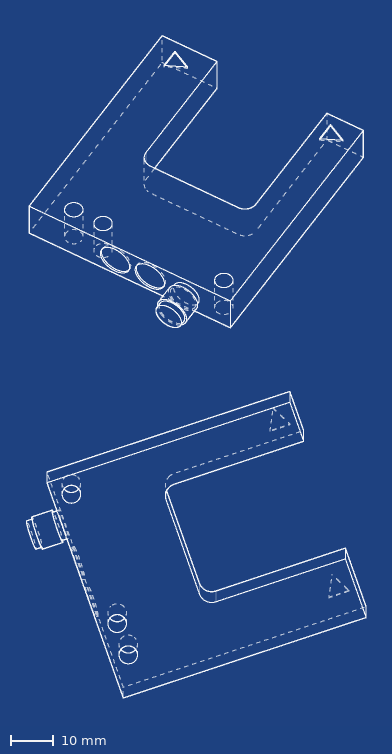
import cadquery as cq

body_width = 55.0
body_length = 60.0
body_height = 10.0

left_arm_width = 15.0
right_arm_width = 10.0
slot_depth = 35.0
slot_corner_radius = 3.0

hole_diameter = 4.3
hole_row_y = 4.5
hole_x_positions = (9.5, 17.5, 50.5)

arrow_size = 5.0
arrow_depth = 0.5
arrow_inset = 5.0
arrow_center_y = body_length - arrow_inset
arrow_base_x_positions = (5.0, 47.5)

window_diameter = 8.0
window_depth = 0.5
window_x_positions = (23.5, 33.0)

connector_x = 43.0
neck_diameter = 7.0
collar_diameter = 8.0
neck_length = 1.5
collar_length = 5.0
tip_length = 1.5

mid_height = body_height / 2


def make_body():
    """Rectangular block with the rounded fork opening cut from the back."""
    slot_width = body_width - left_arm_width - right_arm_width
    block = cq.Workplane("XY").box(body_width, body_length, body_height, centered=False)
    slot = (
        cq.Workplane("XY")
        .box(slot_width, slot_depth, body_height, centered=False)
        .edges("|Z and <Y")
        .fillet(slot_corner_radius)
        .translate((left_arm_width, body_length - slot_depth, 0))
    )
    return block.cut(slot)


def make_mounting_holes():
    centers = [(x, hole_row_y) for x in hole_x_positions]
    return cq.Workplane("XY").pushPoints(centers).circle(hole_diameter / 2).extrude(body_height)


def make_arrow(base_x):
    """Triangular pocket with its base along Y and its tip toward +X."""
    return (
        cq.Workplane("XY", origin=(base_x, arrow_center_y, body_height))
        .moveTo(0, -arrow_size / 2)
        .lineTo(arrow_size, 0)
        .lineTo(0, arrow_size / 2)
        .close()
        .extrude(-arrow_depth)
    )


def front_cylinder(x, start_y, diameter, length):
    """Cylinder at mid height that runs toward -Y from start_y."""
    return cq.Workplane("XZ", origin=(x, start_y, mid_height)).circle(diameter / 2).extrude(length)


def make_connector():
    collar_start = -neck_length
    tip_start = collar_start - collar_length
    neck = front_cylinder(connector_x, 0, neck_diameter, neck_length)
    collar = front_cylinder(connector_x, collar_start, collar_diameter, collar_length)
    tip = front_cylinder(connector_x, tip_start, neck_diameter, tip_length)
    return neck.union(collar).union(tip)


part = make_body().cut(make_mounting_holes())
for arrow_base_x in arrow_base_x_positions:
    part = part.cut(make_arrow(arrow_base_x))
for window_x in window_x_positions:
    part = part.cut(front_cylinder(window_x, window_depth, window_diameter, window_depth))
result = part.union(make_connector())